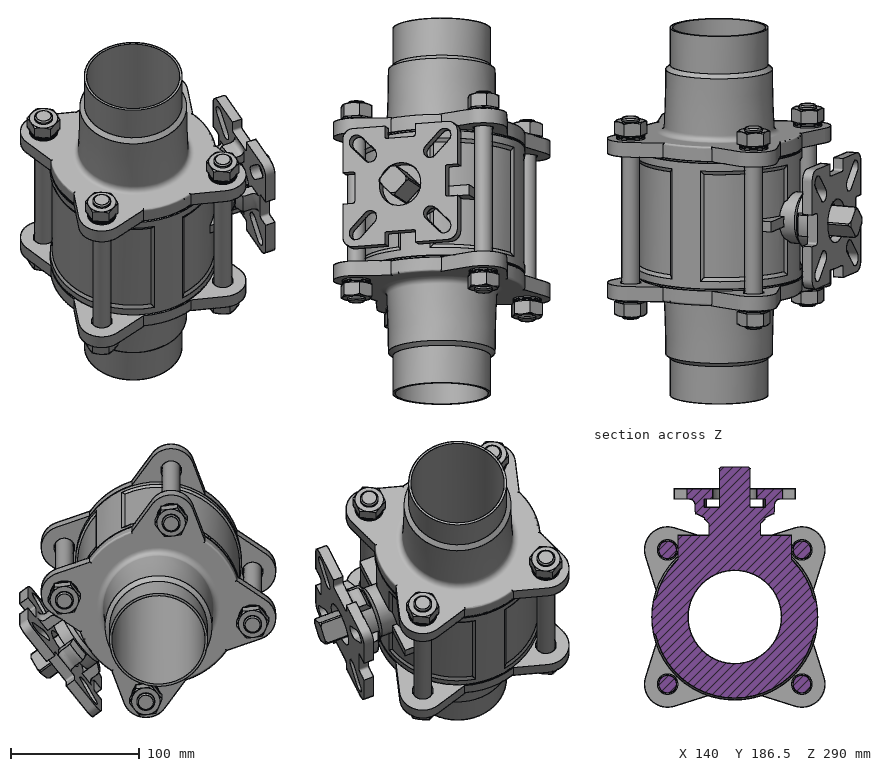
import cadquery as cq
import math


total_length = 290.0
overall_depth = 186.5
bore_dia = 72.2
pipe_dia = 76.0
shoulder_top_z = 115.5
shoulder_z = 112.2
shoulder_radius = 41.5
hub_mid_z = 90.0
hub_mid_radius = 41.8
hub_base_z = 67.5
hub_base_radius = 42.5
hub_foot_radius = 47.5

flange_outer_z = 62.5
flange_thickness = 11.5
flange_inner_z = flange_outer_z - flange_thickness
flange_span = 140.0
lobe_radius = 18.0
bolt_offset = flange_span / 2 - lobe_radius
waist_half_width = 20.3
waist_offset = 61.0
flange_edge_fillet = 1.5

barrel_dia = 128.8
barrel_radius = barrel_dia / 2
barrel_half_length = 49.5
pocket_depth = 1.5
pocket_radius = barrel_radius - pocket_depth
pocket_half_length = 43.5
pocket_end_slope = 3.0
rib_half_width = 12.2
rib_foot_half_width = 14.2

rod_dia = 14.0
rod_hole_dia = 16.0
rod_half_length = 79.2
rod_tip_chamfer = 1.2
nut_across_flats = 22.0
nut_thickness = 10.5
nut_chamfer_height = 1.0
washer_dia = 22.0
washer_thickness = 1.2
washer_gap_dia = 21.0
washer_stack = 3 * washer_thickness

neck_dia = 40.0
neck_top_y = 72.5
collar_dia = 47.0
collar_bottom_y = 75.7
collar_top_y = 85.3
tab_width = 8.0
tab_top_y = 63.5
tab_half_span = 44.0

plate_bottom_y = 91.4
plate_thickness = 8.0
plate_side = 94.0
plate_corner_radius = 8.0
plate_bore_dia = 34.0
notch_half_width = 12.5
notch_depth = 10.0
notch_corner_radius = 1.7
slot_width = 11.0
slot_inner_radius = 35.0
slot_outer_radius = 51.0

web_width = 16.5
web_inner = collar_dia / 2
web_outer = 31.0
web_taper_y = 82.5
web_shoulder = 30.5
web_shoulder_y = 80.0
web_fillet = 4.0
web_foot = 20.3
web_foot_y = 75.0

stem_round_dia = 24.0
stem_square = 18.0
stem_top_y = overall_depth - flange_span / 2
stem_tip_chamfer = 1.5

QUARTER_TURNS = (0, 90, 180, 270)
EIGHTH_TURN = 45
DIAGONAL = math.sqrt(0.5)


def disc_z(diameter, z_low, z_high):
    """Cylinder on the pipe axis."""
    return cq.Workplane("XY", origin=(0, 0, z_low)).circle(diameter / 2).extrude(z_high - z_low)


def stem_plane(y):
    """Workplane across the stem axis, extruding toward +Y."""
    return cq.Workplane(cq.Plane(origin=(0, y, 0), xDir=(0, 0, 1), normal=(0, 1, 0)))


def both_ends(body):
    """Add the copy mirrored to the other end of the pipe."""
    return body.union(body.mirror("XY"))


def pipe_end():
    """Stub pipe with a shoulder, a gently curved hub and a filleted foot, solid before boring."""
    rise = hub_base_z - flange_outer_z
    run = hub_foot_radius - hub_base_radius
    foot_mid = (hub_foot_radius - run * DIAGONAL, hub_base_z - rise * DIAGONAL)
    return (
        cq.Workplane("XZ")
        .moveTo(0, flange_inner_z)
        .lineTo(hub_foot_radius, flange_inner_z)
        .lineTo(hub_foot_radius, flange_outer_z)
        .threePointArc(foot_mid, (hub_base_radius, hub_base_z))
        .threePointArc((hub_mid_radius, hub_mid_z), (shoulder_radius, shoulder_z))
        .lineTo(pipe_dia / 2, shoulder_top_z)
        .lineTo(pipe_dia / 2, total_length / 2)
        .lineTo(0, total_length / 2)
        .close()
        .revolve(360, (0, 0, 0), (0, 1, 0))
    )


def flange():
    """Round disc joined to four lobes whose straight flanks are tangent to the lobe ends."""
    dx = bolt_offset - waist_half_width
    dy = bolt_offset - waist_offset
    normal_angle = math.atan2(dy, dx) + math.pi - math.acos(lobe_radius / math.hypot(dx, dy))
    tangent_x = bolt_offset + lobe_radius * math.cos(normal_angle)
    tangent_y = bolt_offset + lobe_radius * math.sin(normal_angle)
    lobe_tip = bolt_offset + lobe_radius * DIAGONAL
    lobe = (
        cq.Workplane("XY", origin=(0, 0, flange_inner_z))
        .moveTo(0, 0)
        .lineTo(waist_half_width, waist_offset)
        .lineTo(tangent_x, tangent_y)
        .threePointArc((lobe_tip, lobe_tip), (tangent_y, tangent_x))
        .lineTo(waist_offset, waist_half_width)
        .close()
        .extrude(flange_thickness)
    )
    body = disc_z(barrel_dia, flange_inner_z, flange_outer_z)
    body = body.faces(">Z").fillet(flange_edge_fillet)
    for angle in QUARTER_TURNS:
        body = body.union(lobe.rotate((0, 0, 0), (0, 0, 1), angle))
    holes = (
        cq.Workplane("XY", origin=(0, 0, flange_inner_z))
        .rect(2 * bolt_offset, 2 * bolt_offset, forConstruction=True)
        .vertices()
        .circle(rod_hole_dia / 2)
        .extrude(flange_thickness)
    )
    return body.cut(holes)


def barrel():
    """Barrel with shallow pockets, leaving full-radius ribs on -X, +X and +Y."""
    pocket = (
        cq.Workplane("XZ")
        .moveTo(barrel_radius, pocket_half_length)
        .lineTo(pocket_radius, pocket_half_length - pocket_end_slope)
        .lineTo(pocket_radius, pocket_end_slope - pocket_half_length)
        .lineTo(barrel_radius, -pocket_half_length)
        .close()
        .revolve(360, (0, 0, 0), (0, 1, 0))
    )
    rib_top_x = math.sqrt(barrel_radius**2 - rib_half_width**2)
    rib_foot_x = math.sqrt(pocket_radius**2 - rib_foot_half_width**2)
    rib = (
        cq.Workplane("XY", origin=(0, 0, -pocket_half_length))
        .moveTo(0, -rib_foot_half_width)
        .lineTo(rib_foot_x, -rib_foot_half_width)
        .lineTo(rib_top_x, -rib_half_width)
        .lineTo(barrel_radius, -rib_half_width)
        .lineTo(barrel_radius, rib_half_width)
        .lineTo(rib_top_x, rib_half_width)
        .lineTo(rib_foot_x, rib_foot_half_width)
        .lineTo(0, rib_foot_half_width)
        .close()
        .extrude(2 * pocket_half_length)
    )
    for angle in (0, 90, 180):
        pocket = pocket.cut(rib.rotate((0, 0, 0), (0, 0, 1), angle))
    core = disc_z(2 * pocket_radius, -flange_inner_z, flange_inner_z)
    body = disc_z(barrel_dia, -barrel_half_length, barrel_half_length).cut(pocket)
    return body.union(core)


def nut_and_washers():
    """Hex nut with turned-down corners on two washers set apart by a narrow groove."""
    washers = disc_z(washer_gap_dia, flange_outer_z, flange_outer_z + washer_stack)
    for level in (0, 2):
        low_z = flange_outer_z + level * washer_thickness
        washers = washers.union(disc_z(washer_dia, low_z, low_z + washer_thickness))
    nut_z = flange_outer_z + washer_stack
    across_corners = nut_across_flats / math.cos(math.pi / 6)
    corner_depth = (across_corners - nut_across_flats) / 2
    nut = cq.Workplane("XY", origin=(0, 0, nut_z)).polygon(6, across_corners).extrude(nut_thickness)
    rounding = disc_z(across_corners, nut_z, nut_z + nut_thickness)
    rounding = rounding.faces(">Z").chamfer(nut_chamfer_height, corner_depth)
    return washers.union(nut.intersect(rounding))


def tie_rod():
    """Rod along Z with a nut and washers on each end."""
    rod = disc_z(rod_dia, -rod_half_length, rod_half_length).faces("<Z or >Z").chamfer(rod_tip_chamfer)
    return rod.union(both_ends(nut_and_washers()))


def neck():
    """Round neck widening into the collar, with a flat tab crossing its base."""
    body = (
        cq.Workplane("XY")
        .lineTo(neck_dia / 2, 0)
        .lineTo(neck_dia / 2, neck_top_y)
        .lineTo(collar_dia / 2, collar_bottom_y)
        .lineTo(collar_dia / 2, collar_top_y)
        .lineTo(0, collar_top_y)
        .close()
        .revolve(360, (0, 0, 0), (0, 1, 0))
    )
    tab = stem_plane(0).rect(tab_width, 2 * tab_half_span).extrude(tab_top_y)
    return body.union(tab)


def mounting_plate():
    """Square plate with a notch in each side and a diagonal slot toward each corner."""
    plate = stem_plane(plate_bottom_y).rect(plate_side, plate_side).extrude(plate_thickness)
    plate = plate.edges("|Y").fillet(plate_corner_radius)
    notch = (
        stem_plane(plate_bottom_y)
        .center(plate_side / 2, 0)
        .rect(2 * notch_depth, 2 * notch_half_width)
        .extrude(plate_thickness)
        .edges("|Y")
        .fillet(notch_corner_radius)
    )
    slot = (
        stem_plane(plate_bottom_y)
        .center((slot_inner_radius + slot_outer_radius) / 2, 0)
        .slot2D(slot_outer_radius - slot_inner_radius + slot_width, slot_width)
        .extrude(plate_thickness)
        .rotate((0, 0, 0), (0, 1, 0), EIGHTH_TURN)
    )
    for angle in QUARTER_TURNS:
        plate = plate.cut(notch.union(slot).rotate((0, 0, 0), (0, 1, 0), angle))
    return plate.cut(stem_plane(plate_bottom_y).circle(plate_bore_dia / 2).extrude(plate_thickness))


def webs():
    """Four legs from the collar to the plate, cut from one turned ring."""
    fillet_mid = web_fillet * (1 - DIAGONAL)
    ring = (
        cq.Workplane("XY")
        .moveTo(web_inner, plate_bottom_y)
        .lineTo(web_outer + web_fillet, plate_bottom_y)
        .threePointArc(
            (web_outer + fillet_mid, plate_bottom_y - fillet_mid),
            (web_outer, plate_bottom_y - web_fillet),
        )
        .lineTo(web_outer, web_taper_y)
        .lineTo(web_shoulder, web_shoulder_y)
        .lineTo(web_foot, web_foot_y)
        .lineTo(web_foot, collar_top_y)
        .lineTo(web_inner, collar_top_y)
        .close()
        .revolve(360, (0, 0, 0), (0, 1, 0))
    )
    cross = stem_plane(0).rect(plate_side, web_width).extrude(plate_bottom_y)
    cross = cross.union(cross.rotate((0, 0, 0), (0, 1, 0), 90))
    return ring.intersect(cross)


def stem():
    """Square stem set corner-up, with its corners turned to a cylinder."""
    length = stem_top_y - neck_top_y
    square = stem_plane(neck_top_y).rect(stem_square, stem_square).extrude(length)
    turned = stem_plane(neck_top_y).circle(stem_round_dia / 2).extrude(length)
    turned = turned.faces(">Y").chamfer(stem_tip_chamfer)
    return turned.intersect(square.rotate((0, 0, 0), (0, 1, 0), EIGHTH_TURN))


result = barrel().union(both_ends(pipe_end())).union(both_ends(flange()))
result = result.union(neck())
result = result.cut(disc_z(bore_dia, -total_length / 2, total_length / 2))
for x_side in (-1, 1):
    for y_side in (-1, 1):
        result = result.union(tie_rod().translate((x_side * bolt_offset, y_side * bolt_offset, 0)))
result = result.union(webs()).union(mounting_plate()).union(stem())